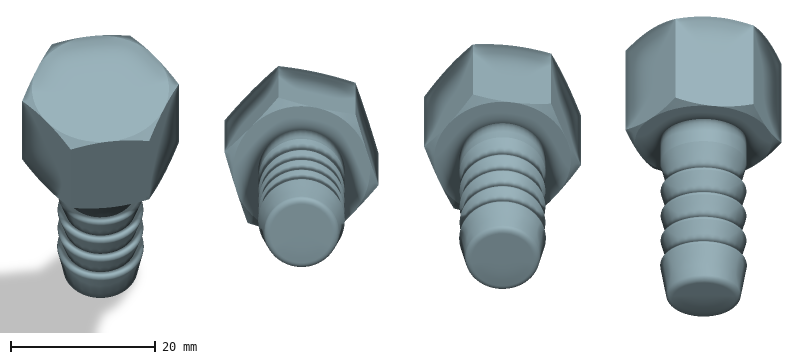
import cadquery as cq
import math

total_length = 40.2
across_flats = 19.0
hex_height = 14.5
hex_sides = 6
hex_half_angle = 180.0 / hex_sides
chamfer_angle = 30.0

collar_radius = 6.0
barb_sharp_radius = 6.1
root_radius = 5.0
tip_radius = 5.05
tip_fillet = 0.85
lip_fillet = 0.5
barb_count = 4
barb_pitch = 4.0
lowest_barb_top = 6.0

hex_bottom = total_length - hex_height
across_corners = across_flats / math.cos(math.radians(hex_half_angle))
top_barb_top = lowest_barb_top + (barb_count - 1) * barb_pitch
collar_bottom = top_barb_top + barb_pitch


def make_hex_head():
    """Hexagon with flats facing +X and -X, its corners chamfered at both ends."""
    prism = (
        cq.Workplane("XY")
        .workplane(offset=hex_bottom)
        .polygon(hex_sides, across_corners)
        .extrude(hex_height)
        .rotate((0, 0, 0), (0, 0, 1), hex_half_angle)
    )
    flat_radius = across_flats / 2
    corner_radius = across_corners / 2
    drop = (corner_radius - flat_radius) * math.tan(math.radians(chamfer_angle))
    chamfer_envelope = (
        cq.Workplane("XZ")
        .moveTo(0, hex_bottom)
        .lineTo(flat_radius, hex_bottom)
        .lineTo(corner_radius, hex_bottom + drop)
        .lineTo(corner_radius, total_length - drop)
        .lineTo(flat_radius, total_length)
        .lineTo(0, total_length)
        .close()
        .revolve(360, (0, 0, 0), (0, 1, 0))
    )
    return prism.intersect(chamfer_envelope)


def make_hose_tail():
    """Revolved tail: rounded tip, rounded barb lips and a plain collar under the head."""
    profile = cq.Workplane("XZ").lineTo(tip_radius, 0)
    for index in range(barb_count):
        barb_top = lowest_barb_top + index * barb_pitch
        profile = profile.lineTo(barb_sharp_radius, barb_top).lineTo(root_radius, barb_top)
    tail = (
        profile.lineTo(collar_radius, collar_bottom)
        .lineTo(collar_radius, hex_bottom)
        .lineTo(0, hex_bottom)
        .close()
        .revolve(360, (0, 0, 0), (0, 1, 0))
    )
    tail = tail.edges(cq.selectors.RadiusNthSelector(-1)).fillet(lip_fillet)
    return tail.faces("<Z").edges().fillet(tip_fillet)


result = make_hex_head().union(make_hose_tail())